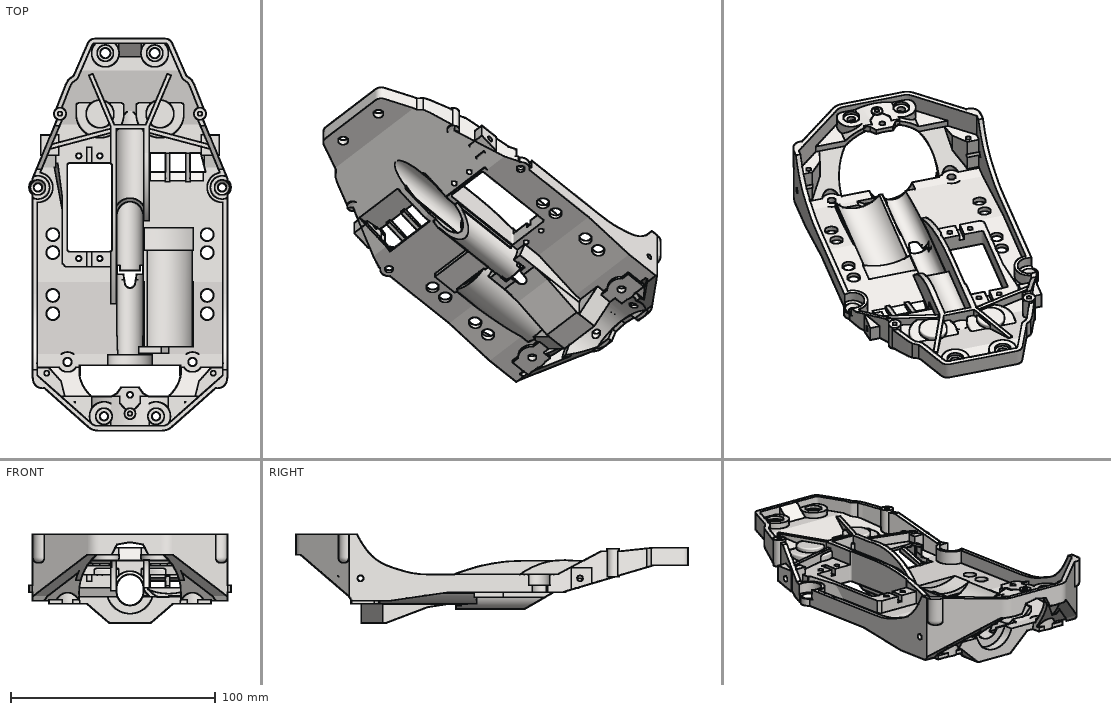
import cadquery as cq
import math


LENGTH = 192.17
HEIGHT = 43.5
OVERALL_WIDTH = 98.99
HALF_WIDTH = 47.8
WALL = 2.35
REACH = 60.0

FRONT_RIM_Z = 37.0
SIDE_RIM_Z = 23.8
FLOOR_Z = 17.3
FLOOR_UNDER_Z = 15.0
REAR_FLOOR_Z = 12.8
REAR_UNDER_Z = 10.9
UNDERTRAY_Z = 9.4
NOSE_UNDER_Z = 28.3
NOSE_FLOOR_Z = NOSE_UNDER_Z + WALL
DECK_Z = 23.6
DECK_REAR_Y = 131.1
DECK_FRONT_Y = 150.0
DECK_BELOW_Z = 20.5
NOSE_SLOPE_Y = 130.4
BITE = 1.0
NOSE_Y = 175.5
NOSE_CREASE_Y = 176.4
SHELF_Z = 34.4
SHELF_Y = 16.8
PLATE_Y = 31.2
PLATE_TOP_Z = 31.0

RIB = 2.0
RIB_TOP_Z = 30.6

SHAFT_R = 6.5
TROUGH_Z = 15.2
TROUGH_OUTER_R = 8.4
TROUGH_REAR_Y = 77.2
ROOF_Z = 17.3
ROOF_OUTER_R = 8.1
ROOF_REAR_Y = 105.0
ROOF_APEX_Y = 114.0
TUNNEL_FRONT_Y = 157.0
CENTRE_INNER = 6.65
CENTRE_OUTER = 9.4

GEARBOX_Y0 = 32.0
GEARBOX_Y1 = 42.5
BEARING_R = 11.4
BEARING_Z = 16.0
BEARING_DEPTH = 5.2
ARCH_R = 25.0
ARCH_Z = 14.5
BOSS_X, BOSS_Y = 12.75, 7.1
BOSS_R = 7.1
BOSS_TOP_Z = 40.2
BOSS_HOLE_R = 2.0
COUNTERBORE_R = 4.0
COUNTERBORE_DEPTH = 1.5

CRADLE_X0 = 6.9
CRADLE_X1 = 31.0
SCOOP_X = (CRADLE_X0 + CRADLE_X1) / 2
MOTOR_X = SCOOP_X + 0.55
CRADLE_Y0 = 41.1
CRADLE_STEP_Y = 88.5
CRADLE_Y1 = 99.5
CRADLE_HALF = 11.0
CRADLE_BOTTOM_Z = 11.4
SCOOP_BOTTOM_Z = 14.4
SLOT_Z = 10.3

BAY_X0, BAY_X1 = -30.7, -8.9
BAY_Y0, BAY_Y1 = 87.8, 131.1
BAY_RAIL = 2.4
BAY_REAR_Y = 80.3

SIDES = (-1, 1)


def join(part, *pieces):
    """Fuse pieces to the part without merging its faces; that is done after each feature."""
    return cq.Workplane(part.val().fuse(*[piece.val() for piece in pieces]))


def remove(part, *pieces):
    return cq.Workplane(part.val().cut(*[piece.val() for piece in pieces]))


def box(x0, x1, y0, y1, z0, z1):
    return cq.Workplane("XY").box(x1 - x0, y1 - y0, z1 - z0, centered=False).translate((x0, y0, z0))


def post(x, y, radius, z0, z1):
    return cq.Workplane("XY").center(x, y).circle(radius).extrude(z1 - z0).translate((0, 0, z0))


def rod_along_y(x, z, radius, y0, y1):
    return cq.Workplane("XZ", origin=(x, y0, z)).circle(radius).extrude(y0 - y1)


def prism_along_x(points, x0, x1):
    return cq.Workplane("YZ", origin=(x0, 0, 0)).polyline(points).close().extrude(x1 - x0)


def prism_along_y(points, y0, y1):
    return cq.Workplane("XZ", origin=(0, y0, 0)).polyline(points).close().extrude(y0 - y1)


def prism_along_z(points, z0, z1):
    return cq.Workplane("XY", origin=(0, 0, z0)).polyline(points).close().extrude(z1 - z0)


def bar(start, end, width, z0, z1):
    """Upright rib between two points of the plan."""
    dx = end[0] - start[0]
    dy = end[1] - start[1]
    length = math.hypot(dx, dy)
    angle = math.degrees(math.atan2(dy, dx))
    middle = ((start[0] + end[0]) / 2, (start[1] + end[1]) / 2, (z0 + z1) / 2)
    rib = cq.Workplane("XY").box(length, width, z1 - z0)
    return rib.rotate((0, 0, 0), (0, 0, 1), angle).translate(middle)


def chord_radius(half_chord, sagitta):
    return (half_chord**2 + sagitta**2) / (2 * sagitta)


def plan_solid():
    """Full-height solid of the plan: its right half from rear to front, mirrored to the left."""
    right = [
        (18.4, 0),
        (HALF_WIDTH, 26.1),
        (HALF_WIDTH, 123.5),
        (34.7, 155.0),
        (36.6, 156.6),
        (31.6, 169.4),
        (30.2, 172.0),
        (27.6, 174.0),
        (19.7, LENGTH),
    ]
    left = [(-x, y) for x, y in reversed(right)]
    solid = cq.Workplane("XY").polyline(right + left).close().extrude(HEIGHT)
    solid = solid.edges("|Z and <Y").fillet(7.5)
    return solid.edges("|Z and >Y").fillet(4.0)


def inset_plan(distance):
    """Full-height solid of the plan moved inward."""
    return full_plan.faces("<Z").wires().toPending().offset2D(-distance).extrude(HEIGHT, combine=False)


def side_profile():
    """Outer shape seen from the side: rim above, underside below."""
    rim_sweep = [(42.5, 29.2), (51.2, 26.0), (67.0, SIDE_RIM_Z)]
    rim_directions = [(0.45, -0.9), (1, 0)]
    return (
        cq.Workplane("YZ", origin=(-REACH, 0, 0))
        .moveTo(0, HEIGHT)
        .lineTo(30.0, HEIGHT)
        .spline(rim_sweep, tangents=rim_directions, includeCurrent=True)
        .lineTo(128.1, SIDE_RIM_Z)
        .lineTo(149.5, 35.2)
        .lineTo(158.7, 35.2)
        .lineTo(NOSE_Y, FRONT_RIM_Z)
        .lineTo(LENGTH, FRONT_RIM_Z)
        .lineTo(LENGTH, NOSE_UNDER_Z)
        .lineTo(NOSE_Y, NOSE_UNDER_Z)
        .lineTo(NOSE_SLOPE_Y, FLOOR_UNDER_Z)
        .lineTo(74.3, FLOOR_UNDER_Z)
        .lineTo(46.0, REAR_UNDER_Z)
        .lineTo(27.3, REAR_UNDER_Z)
        .lineTo(25.8, 13.2)
        .lineTo(2.2, 33.5)
        .lineTo(0, 33.5)
        .close()
        .extrude(2 * REACH)
    )


def cavity():
    """Open space above the floor, inside the walls."""
    above_floor = [
        (0, SHELF_Z),
        (SHELF_Y, SHELF_Z),
        (SHELF_Y, PLATE_TOP_Z),
        (PLATE_Y, REAR_FLOOR_Z),
        (37.6, REAR_FLOOR_Z),
        (73.0, FLOOR_Z),
        (DECK_REAR_Y, FLOOR_Z),
        (DECK_REAR_Y, DECK_Z),
        (DECK_FRONT_Y, DECK_Z),
        (NOSE_CREASE_Y, NOSE_FLOOR_Z),
        (LENGTH, NOSE_FLOOR_Z),
        (LENGTH, HEIGHT),
        (0, HEIGHT),
    ]
    return prism_along_x(above_floor, -REACH, REACH).intersect(inside_plan)


def cut_below_rear_plate(part):
    """Hollow below the sloped rear plate and the shelf, between the two diagonal walls."""
    under_shelf_z = SHELF_Z - WALL
    hollow = [
        (PLATE_Y - 1.4, 0),
        (PLATE_Y - 1.4, REAR_UNDER_Z),
        (SHELF_Y, PLATE_TOP_Z - 2.8),
        (SHELF_Y - 2.5, under_shelf_z),
        (WALL, under_shelf_z),
        (WALL, 0),
    ]
    return remove(part, prism_along_x(hollow, -REACH, REACH).intersect(between_thick_walls))


full_plan = plan_solid()
inside_plan = inset_plan(WALL)
between_thick_walls = inset_plan(2 * WALL)
envelope = full_plan.intersect(side_profile())
open_space = cavity()
body = envelope.cut(open_space)


def add_rear_arch(part):
    """Hump over the gearbox, its tab and pin, and the two screw bosses on the shelf."""
    tab_top = ARCH_Z + ARCH_R + WALL
    tab_under = tab_top - WALL
    tab_hole_y, tab_hole_r = 17.6, 1.4
    pin_y, pin_r, pin_hole_r, pin_rise = 8.4, 2.7, 1.1, 0.5
    tab_plan = [(9.2, SHELF_Y), (6.4, 18.4), (4.3, 21.4), (-4.3, 21.4), (-6.4, 18.4), (-9.2, SHELF_Y)]
    tab_root = [(5, SHELF_Y), (5, 13.5), (2.2, 10.5), (-2.2, 10.5), (-5, 13.5), (-5, SHELF_Y)]
    bosses = [
        post(side * BOSS_X, BOSS_Y, BOSS_R, SHELF_Z - BITE, BOSS_TOP_Z).intersect(full_plan)
        for side in SIDES
    ]
    part = join(
        part,
        rod_along_y(0, ARCH_Z, ARCH_R + WALL, 0, SHELF_Y).intersect(envelope),
        prism_along_z(tab_plan, tab_under - BITE, tab_top),
        prism_along_z(tab_root, tab_under, tab_top),
        post(0, pin_y, pin_r, tab_under, tab_top + pin_rise),
        *bosses,
    )

    part = remove(part, rod_along_y(0, ARCH_Z, ARCH_R, WALL, GEARBOX_Y0))
    notch = [(-9.3, 33), (-6.3, 38.4), (0, ARCH_Z + ARCH_R), (6.3, 38.4), (9.3, 33)]
    cuts = [
        prism_along_y(notch, -BITE, WALL + BITE),
        post(0, tab_hole_y, tab_hole_r, SHELF_Z, HEIGHT),
        post(0, pin_y, pin_hole_r, tab_under + 0.6, HEIGHT),
    ]
    for side in SIDES:
        cuts.append(post(side * BOSS_X, BOSS_Y, BOSS_HOLE_R, 0, HEIGHT))
        cuts.append(post(side * BOSS_X, BOSS_Y, COUNTERBORE_R, BOSS_TOP_Z - COUNTERBORE_DEPTH, HEIGHT))
    return remove(part, *cuts)


def add_corner_posts(part):
    """Round posts outside the rear corners, the corner screw holes and the cross hole."""
    post_x, post_y, post_r, post_bottom_z = 42.9, 25.5, 4.7, 29.4
    screw_x, screw_y, screw_r, screw_bottom_z = 40.8, 28.2, 1.25, 26.0
    cross_y, cross_z, cross_r = 31.7, 21.9, 1.4
    for side in SIDES:
        corner = post(side * post_x, post_y, post_r, post_bottom_z, HEIGHT).faces("<Z").edges().fillet(2.6)
        part = join(part, corner.cut(inside_plan))
        part = remove(part, post(side * screw_x, screw_y, screw_r, screw_bottom_z, HEIGHT))
    cross_hole = cq.Workplane("YZ", origin=(-REACH, cross_y, cross_z)).circle(cross_r).extrude(2 * REACH)
    return remove(part, cross_hole)


def add_corner_ledges(part):
    """Ledges along the diagonal walls that carry the corner screws."""
    ledge_z = 31.0
    for side in SIDES:
        plan = [(47, 30.8), (39.6, 30.8), (33.8, 24.3), (31.9, SHELF_Y), (40, SHELF_Y), (47, 24)]
        ledge = prism_along_z([(side * x, y) for x, y in plan], REAR_UNDER_Z, ledge_z)
        part = join(part, ledge.intersect(envelope))
    return part


def add_rear_mounts(part):
    """Low flange and screw seat on each side of the gearbox; the seat is cut into the rear plate."""
    mount_x, mount_y, seat_r, hole_r = 30.6, 33.7, 4.9, 2.0
    outer_r, outer_top_z = seat_r + 2, 19.0
    for side in SIDES:
        x = side * mount_x
        x0, x1 = sorted((side * 21.0, side * 39.7))
        flange = box(x0, x1, 27.3, 38.3, UNDERTRAY_Z, REAR_UNDER_Z + 0.5)
        part = join(part, flange, post(x, mount_y, outer_r, UNDERTRAY_Z, outer_top_z).cut(open_space))
        seat = post(x, mount_y, seat_r, REAR_FLOOR_Z, SHELF_Z)
        part = remove(part, seat, post(x, mount_y, hole_r, 0, SHELF_Z))
    return part


def add_gearbox_block(part):
    """Flared block below the rear floor with a tapered keel running forward."""
    half, flare = 10.2, 25.0
    section = [(-half, 0), (half, 0), (flare, REAR_FLOOR_Z), (-flare, REAR_FLOOR_Z)]
    part = join(part, prism_along_y(section, GEARBOX_Y0, GEARBOX_Y1))
    keel = [
        (GEARBOX_Y1, 0),
        (44.2, 0),
        (64.5, 7.7),
        (74, 9.2),
        (74, FLOOR_UNDER_Z + 1),
        (GEARBOX_Y1, REAR_FLOOR_Z),
    ]
    part = join(part, prism_along_x(keel, -half, half).cut(open_space))
    fairing_z, fairing_half = 9.3, 13.5
    fairing = [
        (-half, fairing_z),
        (half, fairing_z),
        (fairing_half, FLOOR_UNDER_Z),
        (-fairing_half, FLOOR_UNDER_Z),
    ]
    return join(part, prism_along_y(fairing, GEARBOX_Y1, 84.0).cut(open_space))


def add_motor_cradle(part):
    """Curved bed under the motor with a wider, shallower scoop at its front."""
    cradle_r = chord_radius(CRADLE_HALF, FLOOR_Z - CRADLE_BOTTOM_Z)
    axis_z = CRADLE_BOTTOM_Z + cradle_r
    shell = rod_along_y(MOTOR_X, axis_z, cradle_r + 2, CRADLE_Y0, CRADLE_STEP_Y)
    limits = box(CRADLE_X0, CRADLE_X1, CRADLE_Y0, CRADLE_Y1, 0, FLOOR_Z)
    part = join(part, shell.intersect(limits))
    part = join(part, box(CRADLE_X0, CRADLE_X1, CRADLE_STEP_Y - 1, CRADLE_Y1 + 2, 12.6, FLOOR_Z))
    part = remove(part, rod_along_y(MOTOR_X, axis_z, cradle_r, CRADLE_Y0, CRADLE_STEP_Y))

    scoop_half = (CRADLE_X1 - CRADLE_X0) / 2
    scoop_r = chord_radius(scoop_half, FLOOR_Z - SCOOP_BOTTOM_Z)
    scoop = rod_along_y(SCOOP_X, SCOOP_BOTTOM_Z + scoop_r, scoop_r, CRADLE_STEP_Y, CRADLE_Y1)
    part = remove(part, scoop.intersect(box(CRADLE_X0, CRADLE_X1, 0, LENGTH, 0, FLOOR_Z)))
    return part


def cut_motor_slot(part):
    """Slot across the rear end of the cradle, sloped at its outer end."""
    slot_x, slope_x, end_x = 4.3, 15.3, 18.9
    section = [
        (slot_x, FLOOR_Z),
        (slot_x, SLOT_Z),
        (slope_x, SLOT_Z),
        (end_x, REAR_FLOOR_Z),
        (end_x, FLOOR_Z),
    ]
    return remove(part, prism_along_y(section, 37.9, CRADLE_Y0))


def add_shaft_trough(part):
    """Half-round trough below the floor, its front end cut on a slant."""
    trough = rod_along_y(0, TROUGH_Z, TROUGH_OUTER_R, TROUGH_REAR_Y, 130)
    trough = trough.union(box(-TROUGH_OUTER_R, TROUGH_OUTER_R, TROUGH_REAR_Y + 11, 130, 12.7, TROUGH_Z))
    slant = [
        (112, 0),
        (112, 6.8),
        (125.8, 14.8),
        (125.8, TROUGH_Z),
        (TROUGH_REAR_Y, TROUGH_Z),
        (TROUGH_REAR_Y, 0),
    ]
    return join(part, trough.intersect(prism_along_x(slant, -REACH, REACH)))


def add_shaft_roof(part):
    """Half-round roof over the front of the shaft, its rear end cut on a slant."""
    roof = rod_along_y(0, ROOF_Z, ROOF_OUTER_R, ROOF_REAR_Y, TUNNEL_FRONT_Y)
    apex_z = ROOF_Z + ROOF_OUTER_R
    channel = box(-CENTRE_INNER, CENTRE_INNER, ROOF_REAR_Y, DECK_FRONT_Y - RIB, ROOF_Z, HEIGHT)
    part = remove(part, channel.edges("|Z and >Y").fillet(1.5))
    slant = [
        (ROOF_REAR_Y, ROOF_Z),
        (ROOF_APEX_Y, apex_z),
        (TUNNEL_FRONT_Y, apex_z),
        (TUNNEL_FRONT_Y, DECK_Z),
        (140, ROOF_Z + 1),
    ]
    return join(part, roof.intersect(prism_along_x(slant, -CENTRE_INNER, CENTRE_INNER)))


def cut_shaft(part):
    """Bore under the roof, open trough behind it, bearing seat and floor opening."""
    part = remove(part, rod_along_y(0, ROOF_Z, SHAFT_R, ROOF_REAR_Y, LENGTH))
    part = remove(part, box(-SHAFT_R, SHAFT_R, ROOF_APEX_Y, DECK_FRONT_Y, TROUGH_Z, ROOF_Z))
    part = remove(part, rod_along_y(0, TROUGH_Z, SHAFT_R, GEARBOX_Y0 - 1, LENGTH))
    part = remove(part, box(-SHAFT_R, SHAFT_R, GEARBOX_Y0 - 1, ROOF_REAR_Y, TROUGH_Z, DECK_Z))
    seat = rod_along_y(0, BEARING_Z, BEARING_R, GEARBOX_Y0 - 1, GEARBOX_Y0 + BEARING_DEPTH)
    part = remove(part, seat)
    drop_r, drop_y = 2.5, 72.5
    gap, gap_rear_y, bar_y = 6.3, 76.8, 78.4
    opening = box(-gap, gap, gap_rear_y, bar_y, 0, FLOOR_Z)
    for side in SIDES:
        x0, x1 = sorted((side * 5.0, side * gap))
        opening = opening.union(box(x0, x1, bar_y, 81.0, 0, FLOOR_Z))
    drop = [(-drop_r, drop_y), (drop_r, drop_y), (3.2, gap_rear_y), (-3.2, gap_rear_y)]
    opening = opening.union(prism_along_z(drop, 0, FLOOR_Z))
    opening = opening.union(post(0, drop_y, drop_r, 0, FLOOR_Z))
    return remove(part, opening)


def below_nose():
    """Space under the front end, up to a plane inside the thickness of its sloped floor."""
    section = [
        (NOSE_SLOPE_Y, 0),
        (NOSE_SLOPE_Y, FLOOR_UNDER_Z + BITE),
        (NOSE_Y, NOSE_UNDER_Z + BITE),
        (LENGTH, 0),
    ]
    return prism_along_x(section, -REACH, REACH)


def add_centre_ribs(part):
    """Two long ribs beside the shaft, the cross wall and four braces."""
    left = (
        cq.Workplane("YZ", origin=(-CENTRE_OUTER, 0, 0))
        .moveTo(DECK_FRONT_Y, RIB_TOP_Z)
        .lineTo(112, RIB_TOP_Z)
        .threePointArc((88, 27.4), (62, FLOOR_Z - 1.5))
        .lineTo(62, FLOOR_UNDER_Z)
        .lineTo(DECK_FRONT_Y, FLOOR_UNDER_Z)
        .close()
        .extrude(CENTRE_OUTER - CENTRE_INNER)
    )
    right = (
        cq.Workplane("YZ", origin=(CENTRE_INNER, 0, 0))
        .moveTo(DECK_FRONT_Y, RIB_TOP_Z)
        .lineTo(136, RIB_TOP_Z)
        .threePointArc((115, 27.0), (103, FLOOR_Z))
        .lineTo(103, FLOOR_UNDER_Z)
        .lineTo(DECK_FRONT_Y, FLOOR_UNDER_Z)
        .close()
        .extrude(CENTRE_OUTER - CENTRE_INNER)
    )
    ribs = left.union(right)
    cross_rear_y = DECK_FRONT_Y - RIB
    ribs = ribs.union(box(-CENTRE_OUTER, CENTRE_OUTER, cross_rear_y, DECK_FRONT_Y, ROOF_Z + 1, RIB_TOP_Z))
    for side in SIDES:
        ribs = ribs.union(bar((side * 8.6, 149.5), (side * 19.2, 174.5), RIB, DECK_Z - 2, RIB_TOP_Z))
        ribs = ribs.union(bar((side * 8.6, 147.2), (side * 39.5, 139.0), RIB, DECK_Z - 2, RIB_TOP_Z - 2.5))
    return join(part, ribs.cut(below_nose()))


def add_servo_bay(part):
    """Raised frame around the servo opening, with a leaning flank, screw holes and wire slots."""
    rail_x = BAY_X0 - BAY_RAIL
    frame = box(rail_x, -CENTRE_INNER, BAY_REAR_Y, BAY_Y1 + 1, FLOOR_UNDER_Z, DECK_Z)
    frame = frame.edges("|Z and <X and <Y").chamfer(1.6)
    flank_front = 138.5
    flank = (
        cq.Workplane("XY", origin=(0, 0, FLOOR_Z - 0.2))
        .polyline([(rail_x, 107.5), (-38.9, flank_front), (rail_x, flank_front)])
        .close()
        .workplane(offset=DECK_Z - FLOOR_Z + 0.2)
        .polyline([(rail_x, 114), (-36.4, flank_front), (rail_x, flank_front)])
        .close()
        .loft()
    )
    part = join(part, frame, flank)
    cuts = [box(BAY_X0, BAY_X1, BAY_Y0, BAY_Y1, 0, HEIGHT).edges("|Z").fillet(1.0)]
    screw_r, slot_depth = 1.25, 3.2
    for x in (-25.1, -14.8):
        for y in (84.4, 134.7):
            cuts.append(post(x, y, screw_r, 0, HEIGHT))
    for y0, y1 in ((BAY_REAR_Y, BAY_Y0), (BAY_Y1, 138.8)):
        cuts.append(box(-21.1, -18.7, y0, y1, DECK_Z - slot_depth, HEIGHT))
    return remove(part, *cuts)


def slope_deck_corners(part):
    """Gentle ramps that rise from the floor below the deck in its two outer corners."""
    ramp_rear, ramp_front, ramp_x = 129.0, 136.0, 36.4
    ramp_top_z = 19.2
    for side in SIDES:
        x0, x1 = sorted((side * ramp_x, side * HALF_WIDTH))
        above = [(ramp_rear, FLOOR_Z), (ramp_front, ramp_top_z), (ramp_front, DECK_Z), (ramp_rear, DECK_Z)]
        below = [(ramp_rear, FLOOR_Z), (ramp_front, ramp_top_z), (ramp_front, FLOOR_Z)]
        part = remove(part, prism_along_x(above, x0, x1).intersect(inside_plan))
        part = join(part, prism_along_x(below, x0, x1).intersect(inside_plan))
    return part


def add_vent(part):
    """Window in the step between floor and deck, crossed by slanted bars."""
    x0, x1 = CENTRE_OUTER + 0.4, 36.0
    y0, y1 = 126.8, 136.0
    pocket_top_z = 22.3
    pocket = [
        (y0, 0),
        (y0, pocket_top_z),
        (y1, pocket_top_z),
        (DECK_FRONT_Y, DECK_BELOW_Z),
        (DECK_FRONT_Y, 0),
    ]
    part = remove(part, prism_along_x(pocket, x0, x1))
    window = [(x0, y0), (x1 + 1, y0), (34.6, y1), (x0, y1)]
    part = remove(part, prism_along_z(window, 0, DECK_Z + 1))
    lip_y = y0 - 4.4
    part = remove(part, prism_along_x([(lip_y, FLOOR_Z), (y0, FLOOR_Z), (y0, FLOOR_Z - 1.7)], x0, x1))
    slat = [(122, FLOOR_Z - 1), (122, FLOOR_Z + 1), (y1 + 1, DECK_Z - 0.4), (y1 + 1, DECK_BELOW_Z)]
    for x in (18.4, 28.3):
        part = join(part, prism_along_x(slat, x - 1.1, x + 1.1))
    return part


def add_nose(part):
    """Screw bosses in the nose, the ramp between them and the two raised round seats."""
    boss_x, boss_y, boss_r, boss_top = 12.1, 185.0, 6.75, 33.5
    boss_hole_r = 2.45
    for side in SIDES:
        part = join(part, post(side * boss_x, boss_y, boss_r, NOSE_UNDER_Z + BITE, boss_top))
        counterbore = post(side * boss_x, boss_y, COUNTERBORE_R, boss_top - COUNTERBORE_DEPTH, HEIGHT)
        part = remove(part, counterbore, post(side * boss_x, boss_y, boss_hole_r, 0, HEIGHT))
    ramp_rear, ramp_front = 183.2, LENGTH - WALL
    ramp_half = 5.5
    ramp = [(ramp_rear, NOSE_FLOOR_Z), (ramp_front, NOSE_FLOOR_Z), (ramp_front, FRONT_RIM_Z)]
    part = join(part, prism_along_x(ramp, -ramp_half, ramp_half))
    seat_x, seat_y, pad_r = 14.7, 155.2, 11.7
    pad_z, seat_z = 26.9, 29.0
    for side in SIDES:
        pad = post(side * seat_x, seat_y, pad_r, DECK_Z - 2, pad_z)
        back = box(side * seat_x - pad_r, side * seat_x + pad_r, seat_y, 160.7, DECK_Z - 2, pad_z)
        front = box(side * seat_x - pad_r, side * seat_x + pad_r, 0, seat_y, 0, HEIGHT)
        pad = pad.intersect(front).union(back)
        pad = pad.edges("|Z and >Y").fillet(1.5).faces(">Z").edges().fillet(0.9)
        seat = post(side * seat_x, seat_y, 6.8, DECK_Z, seat_z).faces(">Z").edges().fillet(0.7)
        part = join(part, pad.union(seat).cut(below_nose()))
    return part


def add_screw_posts(part):
    post_x, post_y, post_r = 34.3, 155.3, 3.0
    post_top_z, hole_bottom_z = 36.4, 26.0
    for side in SIDES:
        part = join(part, post(side * post_x, post_y, post_r, 22.6, post_top_z))
        part = remove(part, post(side * post_x, post_y, 1.1, hole_bottom_z, HEIGHT))
    return part


def add_side_blocks(part):
    """Blocks through the side walls, cross drilled, with their underside on the floor slope."""
    hole_y, hole_z, hole_r = 139.2, 21.9, 1.4
    block = [(134.9, 16.4), (134.9, 27.2), (145.0, 27.2), (145.0, 19.3)]
    for side in SIDES:
        x0, x1 = sorted((side * 34.9, side * 43.8))
        part = join(part, prism_along_x(block, x0, x1))
        hole = cq.Workplane("YZ", origin=(x0, hole_y, hole_z)).circle(hole_r).extrude(x1 - x0)
        part = remove(part, hole)
    return part


def add_ears(part):
    """Screw ears whose counterbores open through the side walls."""
    ear_y, ear_r, ear_seat_z = 119.2, 4.4, 18.6
    ear_x = OVERALL_WIDTH / 2 - ear_r
    collar_r, counterbore_r, sink_r, sink_depth, hole_r = 7.3, 5.7, 3.7, 1.7, 2.0
    for x in (-ear_x, ear_x):
        collar = post(x, ear_y, collar_r, FLOOR_UNDER_Z, SIDE_RIM_Z).intersect(envelope)
        part = join(part, collar, post(x, ear_y, ear_r, FLOOR_UNDER_Z, ear_seat_z))
        sink = cq.Workplane("XY", origin=(x, ear_y, ear_seat_z)).circle(sink_r)
        sink = sink.workplane(offset=-sink_depth).circle(hole_r).loft()
        counterbore = post(x, ear_y, counterbore_r, ear_seat_z, HEIGHT)
        part = remove(part, counterbore, sink, post(x, ear_y, hole_r, 0, HEIGHT))
    return part


def cut_floor_holes(part):
    hole_x, hole_r = 37.8, 3.1
    spots = [(side * hole_x, y) for side in SIDES for y in (57.4, 66.3, 87.3, 96.1)]
    return remove(part, *[post(x, y, hole_r, 0, FLOOR_Z + 1) for x, y in spots])


FEATURES = [
    add_corner_ledges,
    cut_below_rear_plate,
    add_gearbox_block,
    add_shaft_trough,
    add_nose,
    add_centre_ribs,
    add_servo_bay,
    add_motor_cradle,
    slope_deck_corners,
    add_vent,
    add_shaft_roof,
    cut_shaft,
    cut_motor_slot,
    add_rear_mounts,
    add_rear_arch,
    add_corner_posts,
    add_screw_posts,
    add_side_blocks,
    add_ears,
    cut_floor_holes,
]
for add_feature in FEATURES:
    body = add_feature(body).clean()
result = body